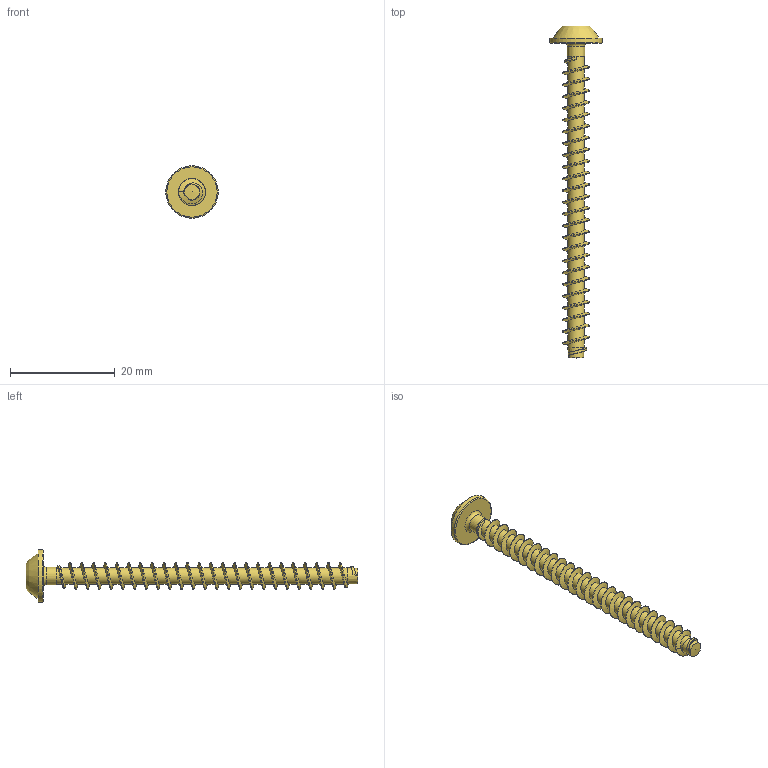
import cadquery as cq
import math

nominal_length = 60.0

head_height = 3.3
flange_diameter = 10.0
flange_thickness = 1.0
flange_edge_fillet = 0.2
dome_base_diameter = 8.7
dome_top_diameter = 4.95
dome_bulge = 0.18

neck_diameter = 3.3
neck_fillet = 0.6
neck_length = 2.5
core_diameter = 3.1
tip_diameter = 2.9
tip_taper_length = 2.0
tip_dome_height = 0.08

thread_diameter = 5.1
thread_pitch = 2.24
thread_root_width = 0.65
thread_crest_width = 0.08
thread_root_overlap = 0.2
thread_start = 2.85
thread_turns = 25.3
run_in_start_radius = 2.0
run_in_turns = 0.75
run_out_end_radius = 1.4
run_out_turns = 1.05
thread_start_angle = 90
spline_steps_per_turn = 16
root_radius = core_diameter / 2 - thread_root_overlap
crest_radius = thread_diameter / 2


def make_head():
    flange_radius = flange_diameter / 2
    base_radius = dome_base_diameter / 2
    top_radius = dome_top_diameter / 2
    dome_height = head_height - flange_thickness
    chord = math.hypot(base_radius - top_radius, dome_height)
    arc_middle = (
        (base_radius + top_radius) / 2 + dome_bulge * dome_height / chord,
        -flange_thickness - dome_height / 2 - dome_bulge * (base_radius - top_radius) / chord,
    )
    head = (
        cq.Workplane("XZ")
        .lineTo(flange_radius, 0)
        .lineTo(flange_radius, -flange_thickness)
        .lineTo(base_radius, -flange_thickness)
        .threePointArc(arc_middle, (top_radius, -head_height))
        .lineTo(0, -head_height)
        .close()
        .revolve(360, (0, 0, 0), (0, 1, 0))
    )
    return head.faces(">Z").edges().fillet(flange_edge_fillet)


def make_shank():
    neck_radius = neck_diameter / 2
    core_radius = core_diameter / 2
    tip_radius = tip_diameter / 2
    rim_position = nominal_length - tip_dome_height
    dome_radius = (tip_radius**2 + tip_dome_height**2) / (2 * tip_dome_height)
    dome_half_angle = math.asin(tip_radius / dome_radius) / 2
    dome_middle = (
        dome_radius * math.sin(dome_half_angle),
        nominal_length - dome_radius * (1 - math.cos(dome_half_angle)),
    )
    arc_offset = neck_fillet * (1 - math.sqrt(0.5))
    return (
        cq.Workplane("XZ")
        .moveTo(0, -flange_thickness)
        .lineTo(neck_radius + neck_fillet, -flange_thickness)
        .lineTo(neck_radius + neck_fillet, 0)
        .threePointArc((neck_radius + arc_offset, arc_offset), (neck_radius, neck_fillet))
        .lineTo(neck_radius, neck_length)
        .lineTo(core_radius, neck_length)
        .lineTo(core_radius, rim_position - tip_taper_length)
        .lineTo(tip_radius, rim_position)
        .threePointArc(dome_middle, (0, nominal_length))
        .close()
        .revolve(360, (0, 0, 0), (0, 1, 0))
    )


def thread_edge(radius_start, radius_end, side_start, side_end, first_turn, turns):
    """Helical edge of the ridge; side is its axial offset from the middle of the ridge."""

    def point_at(fraction):
        turn = first_turn + turns * fraction
        angle = math.radians(thread_start_angle + 360 * turn)
        radius = radius_start + (radius_end - radius_start) * fraction
        side = side_start + (side_end - side_start) * fraction
        height = thread_start + thread_pitch * turn + side
        return cq.Vector(radius * math.cos(angle), radius * math.sin(angle), height)

    steps = math.ceil(turns * spline_steps_per_turn)
    return cq.Edge.makeSpline([point_at(step / steps) for step in range(steps + 1)])


def half_width(radius):
    """Half the axial width of the ridge at a radius between its root and crest."""
    height_fraction = (radius - root_radius) / (crest_radius - root_radius)
    return (thread_root_width + (thread_crest_width - thread_root_width) * height_fraction) / 2


def make_thread_segment(first_turn, turns, crest_start, crest_end):
    """Solid ridge whose crest radius changes evenly from crest_start to crest_end."""
    root_half = thread_root_width / 2
    crest_half_start = half_width(crest_start)
    crest_half_end = half_width(crest_end)
    edges = [
        thread_edge(root_radius, root_radius, -root_half, -root_half, first_turn, turns),
        thread_edge(crest_start, crest_end, -crest_half_start, -crest_half_end, first_turn, turns),
        thread_edge(crest_start, crest_end, crest_half_start, crest_half_end, first_turn, turns),
        thread_edge(root_radius, root_radius, root_half, root_half, first_turn, turns),
    ]
    sides = [cq.Face.makeRuledSurface(edges[i - 1], edges[i]) for i in range(len(edges))]
    caps = [
        cq.Face.makeFromWires(cq.Wire.makePolygon([edge.startPoint() for edge in edges], close=True)),
        cq.Face.makeFromWires(cq.Wire.makePolygon([edge.endPoint() for edge in edges], close=True)),
    ]
    return cq.Solid.makeSolid(cq.Shell.makeShell(sides + caps))


def make_thread():
    full_turns = thread_turns - run_in_turns - run_out_turns
    run_in = make_thread_segment(0, run_in_turns, run_in_start_radius, crest_radius)
    full = make_thread_segment(run_in_turns, full_turns, crest_radius, crest_radius)
    run_out = make_thread_segment(
        run_in_turns + full_turns, run_out_turns, crest_radius, run_out_end_radius
    )
    return [run_in, full, run_out]


screw = make_shank().union(make_head())
for segment in make_thread():
    screw = screw.union(cq.Workplane(segment))
result = cq.Workplane(screw.solids().val()).rotate((0, 0, 0), (1, 0, 0), 90)